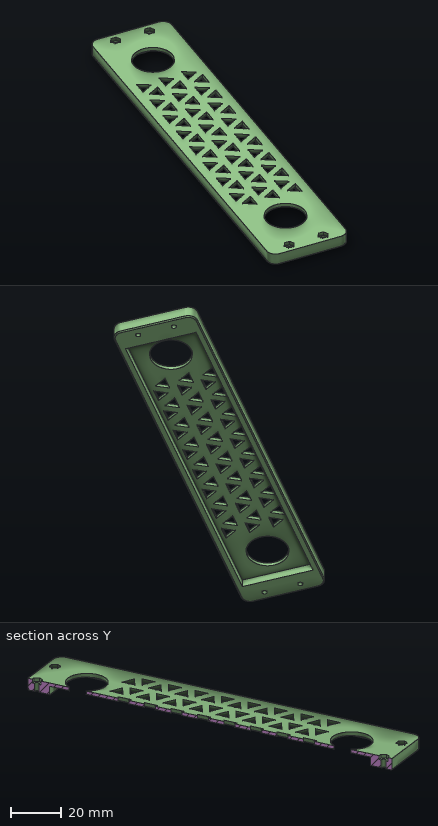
import cadquery as cq
import math

LENGTH = 165.0
WIDTH = 35.0
THICKNESS = 5.3
CORNER_RADIUS = 4.0
BOTTOM_CHAMFER = 0.5

WINDOW_DIAMETER = 17.0
WINDOW_SPACING = 120.0

SKIN = 1.6
RECESS_LENGTH = 145.2
RECESS_WIDTH = 29.7

SCREW_DIAMETER = 2.0
SCREW_SPACING_X = 157.0
SCREW_SPACING_Y = 15.0
NUT_ACROSS_FLATS = 3.8
NUT_DEPTH = 1.6

TRIANGLE_SIDE = 5.8
PAIR_COUNT = 8
PAIR_SPAN = 84.0
PAIR_PITCH = PAIR_SPAN / (PAIR_COUNT - 1)
PAIR_OFFSET = 5.5
ROW_COUNT = 3
ROW_SPAN = 20.0
ROW_PITCH = ROW_SPAN / (ROW_COUNT - 1)
ROW_HEIGHT = 6.6


def make_plate():
    """Round-cornered plate from Z = 0 up, with its bottom rim chamfered."""
    plate = cq.Workplane("XY").box(LENGTH, WIDTH, THICKNESS, centered=(True, True, False))
    plate = plate.edges("|Z").fillet(CORNER_RADIUS)
    return plate.faces("<Z").edges().chamfer(BOTTOM_CHAMFER)


def make_windows():
    """Two large round openings on the X axis."""
    centres = [(-WINDOW_SPACING / 2, 0), (WINDOW_SPACING / 2, 0)]
    return cq.Workplane("XY").pushPoints(centres).circle(WINDOW_DIAMETER / 2).extrude(THICKNESS)


def make_recess():
    """Rectangular pocket cut up from the underside, stopping below the skin."""
    return cq.Workplane("XY").rect(RECESS_LENGTH, RECESS_WIDTH).extrude(THICKNESS - SKIN)


def make_screw_holes():
    """Through holes, each opening at the top into a hexagonal pocket with corners along Y."""
    nut_radius = NUT_ACROSS_FLATS / math.sqrt(3)
    hexagon = [
        (nut_radius * math.sin(k * math.pi / 3), nut_radius * math.cos(k * math.pi / 3))
        for k in range(6)
    ]
    hole = cq.Workplane("XY").circle(SCREW_DIAMETER / 2).extrude(THICKNESS)
    pocket_floor = cq.Workplane("XY", origin=(0, 0, THICKNESS - NUT_DEPTH))
    hole = hole.union(pocket_floor.polyline(hexagon).close().extrude(NUT_DEPTH))
    corners = cq.Workplane("XY").rect(SCREW_SPACING_X, SCREW_SPACING_Y, forConstruction=True)
    return corners.vertices().eachpoint(hole.val(), combine=False)


def triangle(x, base_y, direction):
    """Equilateral prism pointing to +Y (direction 1) or -Y (direction -1)."""
    apex_y = base_y + direction * TRIANGLE_SIDE * math.sqrt(3) / 2
    points = [(x - TRIANGLE_SIDE / 2, base_y), (x + TRIANGLE_SIDE / 2, base_y), (x, apex_y)]
    return cq.Workplane("XY").polyline(points).close().extrude(THICKNESS)


def make_grille():
    """Rows of paired triangles, centred on the plate."""
    first_x = -(PAIR_SPAN + PAIR_OFFSET) / 2
    prisms = cq.Workplane("XY")
    for row in range(ROW_COUNT):
        row_y = -ROW_SPAN / 2 + row * ROW_PITCH
        for pair in range(PAIR_COUNT):
            x = first_x + pair * PAIR_PITCH
            prisms.add(triangle(x, row_y - ROW_HEIGHT / 2, 1))
            prisms.add(triangle(x + PAIR_OFFSET, row_y + ROW_HEIGHT / 2, -1))
    return cq.Workplane(cq.Compound.makeCompound(prisms.vals()))


plate = make_plate()
plate = plate.cut(make_recess())
plate = plate.cut(make_windows())
plate = plate.cut(make_screw_holes())
result = plate.cut(make_grille())